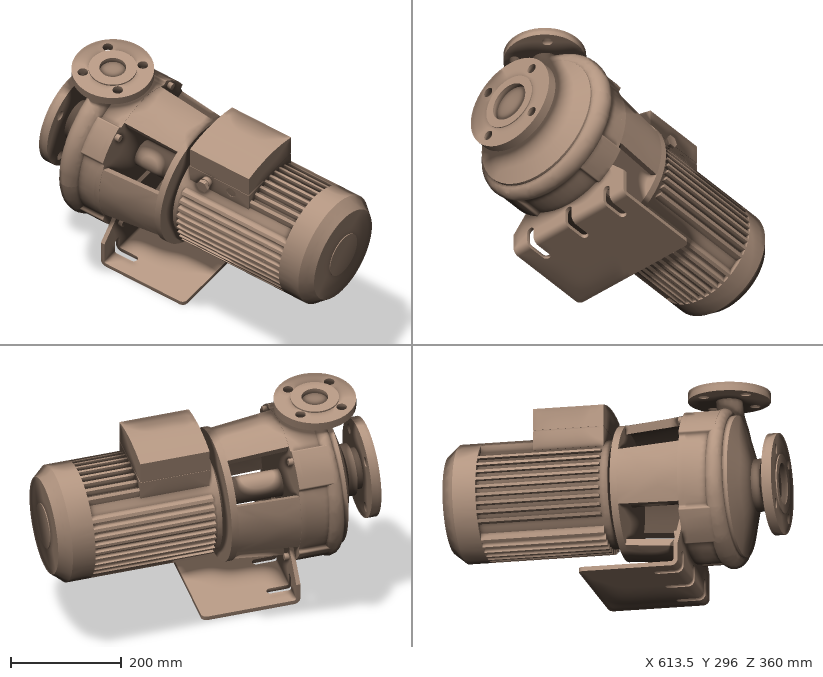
import cadquery as cq
import math


DIAGONALS = (45, 135, 225, 315)

INLET_FACE_X = -100.0
INLET_RAISED = 2.0
INLET_FLANGE_END_X = -80.0
INLET_COLLAR_X = -66.5
CONE_START_X = -50.5
CONE_END_X = -24.5
CASING_BACK_X = 55.7
LANTERN_FRONT_END_X = 66.4
LANTERN_REAR_X = 181.0
LANTERN_END_X = 194.0
MOTOR_NECK_END_X = 204.0
MOTOR_BODY_X = 218.5
MOTOR_COVER_X = 447.0
MOTOR_COVER_TAPER_X = 490.0
MOTOR_COVER_END_X = 512.0
MOTOR_END_X = 513.5

FLANGE_HOLE_DIA = 19.0
INLET_FLANGE_DIA = 185.0
INLET_RAISED_DIA = 108.0
INLET_BOLT_CIRCLE = 145.0
INLET_PIPE_DIA = 76.1
INLET_BORE_DEPTH = 12.0
INLET_COLLAR_DIA = 96.1
OUTLET_FACE_Z = 180.0
OUTLET_RAISED = 3.0
OUTLET_FLANGE_THICKNESS = 16.0
OUTLET_FLANGE_DIA = 150.0
OUTLET_RAISED_DIA = 88.0
OUTLET_BOLT_CIRCLE = 110.0
OUTLET_PIPE_DIA = 48.3
OUTLET_BORE_DEPTH = 10.0
OUTLET_FLANGE_BASE_Z = OUTLET_FACE_Z - OUTLET_RAISED - OUTLET_FLANGE_THICKNESS

CASING_FRONT_DIA = 257.36
CASING_RING_RADIUS = 136.0
VOLUTE_CENTRE_RADIUS = 129.0
VOLUTE_START_TUBE_RADIUS = 13.0
VOLUTE_TUBE_GROWTH = 3.0 / 90.0
VOLUTE_STEP = 30
VOLUTE_WRAP = 270
NECK_START_WRAP = 320
NECK_STEP = 10
NECK_STATIONS = [
    (-59.0, 115.0, 29.0),
    (-30.0, 128.5, 33.0),
    (-9.0, 144.0, 58.0),
    (0.0, OUTLET_FLANGE_BASE_Z, 90.0),
]
LUG_RADIUS = 144.0
LUG_WIDTH = 73.0
LUG_CORNER_ROUND = 3.0
LUG_ROOT_FILLET = 5.0

ARM_FRONT_RADIUS = 135.5
ARM_REAR_RADIUS = 123.5
BORE_FRONT_RADIUS = 119.0
BORE_REAR_RADIUS = 108.5
ARM_HALF_ANGLE = 24.8
SHAFT_DIA = 50.0

BOLT_Y = 81.5
BOLT_Z = 107.0
BOLT_HEAD_DIA = 13.0
BOLT_HEAD_HEIGHT = 8.5
BOLT_SHANK_DIA = 9.0
BOLT_DEPTH_IN_CASING = 15.0

FOOT_THICKNESS = 8.0
FOOT_BASE_Z = -180.0
FOOT_HALF_WIDTH = 130.0
FOOT_END_X = 251.5
FOOT_BEND_RADIUS = 12.0
FOOT_CORNER_RADIUS = 10.0
FOOT_TOP_Z = -56.5
FOOT_TOP_HALF_WIDTH = 62.0
FOOT_SHOULDER_NEAR_Z = -125.0
FOOT_SHOULDER_FAR_Z = -137.5
FOOT_SLOT_WIDTH = 15.0
FOOT_SLOT_SPACING = 90.0
FOOT_SLOT_TOP_Z = -142.5
FOOT_SLOT_END_X = 118.5

MOTOR_NECK_DIA = 137.0
MOTOR_CORE_DIA = 197.0
MOTOR_FIN_DIA = 217.0
MOTOR_TAPER_END_DIA = 180.0
MOTOR_END_DISC_DIA = 84.0
FIN_PITCH = 15.0
FIN_COUNT = 9
FIN_WIDTH = 5.0

BOX_LENGTH = 131.0
BOX_WIDTH = 131.0
BOX_BOTTOM_Z = 74.0
BOX_EDGE_Z = 152.0
BOX_CREST_Z = 161.0
BOX_SEAM_Z = 110.5
BOX_SEAM_WIDTH = 2.5
BOX_SEAM_DEPTH = 0.5
GLAND_X = 258.5
BLANK_ENTRY_X = 310.0
ENTRY_Z = 94.5
ENTRY_DIA = 20.0
BLANK_ENTRY_DEPTH = 1.0
GLAND_COLLAR_LENGTH = 8.5
GLAND_NECK_DIA = 16.0
GLAND_NECK_LENGTH = 5.0
GLAND_HEX_FLATS = 21.5
GLAND_HEX_LENGTH = 5.5


def x_cylinder(radius, start_x, end_x, y=0.0, z=0.0):
    """Cylinder along X between two stations."""
    return cq.Workplane("YZ", origin=(start_x, y, z)).circle(radius).extrude(end_x - start_x)


def x_revolve(profile):
    """Revolve (x, radius) points, closed along the shaft axis, around X."""
    closed = [(profile[0][0], 0.0)] + profile + [(profile[-1][0], 0.0)]
    return cq.Workplane("XY").polyline(closed).close().revolve(360, (0, 0, 0), (1, 0, 0))


def polar(radius, angle):
    """Point in the YZ plane at an angle in degrees measured from +Y toward +Z."""
    return radius * math.cos(math.radians(angle)), radius * math.sin(math.radians(angle))


def bolt_positions():
    """(y, z) of the four bolts that clamp the lantern to the casing."""
    return [(y, z) for y in (-BOLT_Y, BOLT_Y) for z in (-BOLT_Z, BOLT_Z)]


def bolt_seat_x(z):
    """Underside of a bolt head: the lower bolts also clamp the foot."""
    return LANTERN_FRONT_END_X + (FOOT_THICKNESS if z < 0 else 0.0)


def cut_bolt_holes(body):
    """Remove the shank holes of all four bolts."""
    for y, z in bolt_positions():
        body = body.cut(
            x_cylinder(BOLT_SHANK_DIA / 2, CASING_BACK_X - BOLT_DEPTH_IN_CASING, bolt_seat_x(z), y, z)
        )
    return body


def lugged_disc(start_x, end_x):
    """Casing ring with four raised parallel-sided lugs with rounded corners and filleted roots."""
    length = end_x - start_x
    lugs = cq.Workplane("XY")
    for angle in DIAGONALS[:2]:
        bar_size = (length, 2 * LUG_RADIUS + LUG_WIDTH, LUG_WIDTH)
        bar = cq.Workplane("XY").box(*bar_size, centered=(False, True, True))
        lugs = lugs.union(bar.rotate((0, 0, 0), (1, 0, 0), angle))
    lugs = lugs.translate((start_x, 0, 0)).intersect(x_cylinder(LUG_RADIUS, start_x, end_x))
    disc = x_cylinder(CASING_RING_RADIUS, start_x, end_x).union(lugs)
    disc = disc.newObject(lug_edges(disc, LUG_RADIUS)).fillet(LUG_CORNER_ROUND)
    return disc.newObject(lug_edges(disc, CASING_RING_RADIUS)).fillet(LUG_ROOT_FILLET)


def lug_edges(disc, radius):
    """Edges along X where the lug sides cross the given radius."""
    side_angle = math.degrees(math.asin(LUG_WIDTH / 2 / radius))
    edges = []
    for middle in DIAGONALS:
        for angle in (middle - side_angle, middle + side_angle):
            point = (disc.val().Center().x, *polar(radius, angle))
            edges += disc.edges("|X").edges(cq.selectors.NearestToPointSelector(point)).vals()
    return edges


def tube_section(y, z, radius, heading):
    """Circular section centred on X = 0, facing a heading in degrees from +Y toward +Z."""
    plane = cq.Plane(origin=(0, y, z), xDir=(1, 0, 0), normal=(0, *polar(1.0, heading)))
    return cq.Workplane(plane).circle(radius).wires().val()


def spiral_section(wrap):
    """Section of the spiral tube after a wrap in degrees from its start at the top."""
    y, z = polar(VOLUTE_CENTRE_RADIUS, 90 - wrap)
    return tube_section(y, z, VOLUTE_START_TUBE_RADIUS + VOLUTE_TUBE_GROWTH * wrap, -wrap)


def make_spiral():
    """Tube that widens as it wraps around the impeller."""
    sections = [spiral_section(wrap) for wrap in range(0, VOLUTE_WRAP + 1, VOLUTE_STEP)]
    return cq.Workplane(cq.Solid.makeLoft(sections))


def make_swan_neck():
    """Continuation of the spiral that swings up into the outlet flange."""
    sections = [spiral_section(wrap) for wrap in range(VOLUTE_WRAP, NECK_START_WRAP + 1, NECK_STEP)]
    for y, z, heading in NECK_STATIONS:
        sections.append(tube_section(y, z, OUTLET_PIPE_DIA / 2, heading))
    return cq.Workplane(cq.Solid.makeLoft(sections))


def make_inlet_flange():
    flange = x_revolve([
        (INLET_FACE_X, INLET_RAISED_DIA / 2),
        (INLET_FACE_X + INLET_RAISED, INLET_RAISED_DIA / 2),
        (INLET_FACE_X + INLET_RAISED, INLET_FLANGE_DIA / 2),
        (INLET_FLANGE_END_X, INLET_FLANGE_DIA / 2),
    ])
    for angle in DIAGONALS:
        y, z = polar(INLET_BOLT_CIRCLE / 2, angle)
        flange = flange.cut(x_cylinder(FLANGE_HOLE_DIA / 2, INLET_FACE_X, INLET_FLANGE_END_X, y, z))
    return flange.cut(x_cylinder(INLET_PIPE_DIA / 2, INLET_FACE_X, INLET_FACE_X + INLET_BORE_DEPTH))


def make_outlet_flange():
    return (
        cq.Workplane("XY", origin=(0, 0, OUTLET_FLANGE_BASE_Z))
        .circle(OUTLET_FLANGE_DIA / 2)
        .extrude(OUTLET_FLANGE_THICKNESS)
        .faces(">Z").workplane()
        .polarArray(OUTLET_BOLT_CIRCLE / 2, DIAGONALS[0], 360, len(DIAGONALS))
        .hole(FLANGE_HOLE_DIA)
        .faces(">Z").workplane()
        .circle(OUTLET_RAISED_DIA / 2)
        .extrude(OUTLET_RAISED)
        .faces(">Z").workplane()
        .hole(OUTLET_PIPE_DIA, OUTLET_BORE_DEPTH)
    )


def make_casing():
    front = x_revolve([
        (INLET_FLANGE_END_X, INLET_PIPE_DIA / 2),
        (INLET_COLLAR_X, INLET_PIPE_DIA / 2),
        (INLET_COLLAR_X, INLET_COLLAR_DIA / 2),
        (CONE_START_X, INLET_COLLAR_DIA / 2),
        (CONE_END_X, CASING_FRONT_DIA / 2),
        (0.0, CASING_FRONT_DIA / 2),
    ])
    casing = front.union(lugged_disc(0.0, CASING_BACK_X)).union(make_spiral()).union(make_swan_neck())
    casing = casing.union(make_inlet_flange()).union(make_outlet_flange())
    return cut_bolt_holes(casing)


def make_window(middle_angle):
    """Wedge between two arms, bounded by radial planes, over the open length of the lantern."""
    half = 45.0 - ARM_HALF_ANGLE
    reach = 2 * LUG_RADIUS
    return (
        cq.Workplane("YZ", origin=(LANTERN_FRONT_END_X, 0, 0))
        .lineTo(*polar(reach, middle_angle - half))
        .lineTo(*polar(reach, middle_angle + half))
        .close()
        .extrude(LANTERN_REAR_X - LANTERN_FRONT_END_X)
    )


def make_arms():
    """Four arms left from a tapered shell."""
    outside = x_revolve([(LANTERN_FRONT_END_X, ARM_FRONT_RADIUS), (LANTERN_REAR_X, ARM_REAR_RADIUS)])
    inside = x_revolve([(LANTERN_FRONT_END_X, BORE_FRONT_RADIUS), (LANTERN_REAR_X, BORE_REAR_RADIUS)])
    shell = outside.cut(inside)
    for middle in DIAGONALS:
        shell = shell.cut(make_window(middle))
    return shell


def make_lantern():
    lantern = lugged_disc(CASING_BACK_X, LANTERN_FRONT_END_X).union(make_arms())
    lantern = lantern.union(x_cylinder(ARM_REAR_RADIUS, LANTERN_REAR_X, LANTERN_END_X))
    lantern = lantern.union(x_cylinder(SHAFT_DIA / 2, LANTERN_FRONT_END_X, LANTERN_REAR_X))
    return cut_bolt_holes(lantern)


def make_bolt(y, z):
    seat_x = bolt_seat_x(z)
    head = x_cylinder(BOLT_HEAD_DIA / 2, seat_x, seat_x + BOLT_HEAD_HEIGHT, y, z)
    shank = x_cylinder(BOLT_SHANK_DIA / 2, CASING_BACK_X - BOLT_DEPTH_IN_CASING, seat_x, y, z)
    return head.union(shank)


def make_foot():
    """Bent plate: an upright bolted to the lantern and a base running under it."""
    front_x = LANTERN_FRONT_END_X
    inner_x = front_x + FOOT_THICKNESS
    upright = (
        cq.Workplane("YZ", origin=(front_x, 0, 0))
        .moveTo(-FOOT_HALF_WIDTH, FOOT_BASE_Z)
        .lineTo(FOOT_HALF_WIDTH, FOOT_BASE_Z)
        .lineTo(FOOT_HALF_WIDTH, FOOT_SHOULDER_FAR_Z)
        .lineTo(FOOT_TOP_HALF_WIDTH, FOOT_TOP_Z)
        .lineTo(-FOOT_TOP_HALF_WIDTH, FOOT_TOP_Z)
        .lineTo(-FOOT_HALF_WIDTH, FOOT_SHOULDER_NEAR_Z)
        .close()
        .extrude(FOOT_THICKNESS)
    )
    base = (
        cq.Workplane("XY", origin=(front_x, 0, FOOT_BASE_Z))
        .box(FOOT_END_X - front_x, 2 * FOOT_HALF_WIDTH, FOOT_THICKNESS, centered=(False, True, False))
        .edges("|Z and >X").fillet(FOOT_CORNER_RADIUS)
    )
    foot = upright.union(base)
    outer_edge = (front_x, 0, FOOT_BASE_Z)
    inner_edge = (inner_x, 0, FOOT_BASE_Z + FOOT_THICKNESS)
    for edge, radius in ((outer_edge, FOOT_BEND_RADIUS), (inner_edge, FOOT_BEND_RADIUS - FOOT_THICKNESS)):
        foot = foot.edges(cq.selectors.NearestToPointSelector(edge)).fillet(radius)
    for y in (-FOOT_SLOT_SPACING, 0.0, FOOT_SLOT_SPACING):
        foot = foot.cut(make_foot_slot(y))
    return cut_bolt_holes(foot.cut(make_arms()))


def make_foot_slot(y):
    """Slot that crosses the bend, round-ended in the upright and in the base."""
    front_x = LANTERN_FRONT_END_X
    radius = FOOT_SLOT_WIDTH / 2
    upright_centre_z = FOOT_SLOT_TOP_Z - radius
    base_centre_x = FOOT_SLOT_END_X - radius
    bend_size = (base_centre_x - front_x, FOOT_SLOT_WIDTH, upright_centre_z - FOOT_BASE_Z)
    bend_part = (
        cq.Workplane("XY", origin=(front_x, y, FOOT_BASE_Z)).box(*bend_size, centered=(False, True, False))
    )
    upright_end = x_cylinder(radius, front_x, front_x + FOOT_THICKNESS, y, upright_centre_z)
    base_end = (
        cq.Workplane("XY", origin=(base_centre_x, y, FOOT_BASE_Z)).circle(radius).extrude(FOOT_THICKNESS)
    )
    return bend_part.union(upright_end).union(base_end)


def box_block():
    """Prism of the terminal box, with a top that crowns across Y."""
    half = BOX_WIDTH / 2
    return (
        cq.Workplane("YZ", origin=(MOTOR_BODY_X, 0, 0))
        .moveTo(-half, BOX_BOTTOM_Z)
        .lineTo(half, BOX_BOTTOM_Z)
        .lineTo(half, BOX_EDGE_Z)
        .threePointArc((0, BOX_CREST_Z), (-half, BOX_EDGE_Z))
        .close()
        .extrude(BOX_LENGTH)
    )


def make_fins():
    """Parallel cooling fins, upright above and below and level on the two flanks."""
    length = MOTOR_COVER_X - MOTOR_BODY_X
    fins = cq.Workplane("XY")
    first = -FIN_PITCH * (FIN_COUNT - 1) / 2
    for index in range(FIN_COUNT):
        offset = first + index * FIN_PITCH
        upright = cq.Workplane("XY").box(length, FIN_WIDTH, MOTOR_FIN_DIA, centered=(False, True, True))
        level = cq.Workplane("XY").box(length, MOTOR_FIN_DIA, FIN_WIDTH, centered=(False, True, True))
        fins = fins.union(upright.translate((MOTOR_BODY_X, offset, 0)))
        fins = fins.union(level.translate((MOTOR_BODY_X, 0, offset)))
    return fins.intersect(x_cylinder(MOTOR_FIN_DIA / 2, MOTOR_BODY_X, MOTOR_COVER_X))


def make_motor():
    body = x_revolve([
        (LANTERN_END_X, MOTOR_NECK_DIA / 2),
        (MOTOR_NECK_END_X, MOTOR_NECK_DIA / 2),
        (MOTOR_NECK_END_X, MOTOR_CORE_DIA / 2),
        (MOTOR_COVER_X, MOTOR_CORE_DIA / 2),
        (MOTOR_COVER_X, MOTOR_FIN_DIA / 2),
        (MOTOR_COVER_TAPER_X, MOTOR_FIN_DIA / 2),
        (MOTOR_COVER_END_X, MOTOR_TAPER_END_DIA / 2),
        (MOTOR_COVER_END_X, MOTOR_END_DISC_DIA / 2),
        (MOTOR_END_X, MOTOR_END_DISC_DIA / 2),
    ])
    return body.union(make_fins().cut(box_block()))


def make_terminal_box():
    """Terminal box seated on the motor core, with a cable gland and a blank entry on -Y."""
    side_y = -BOX_WIDTH / 2
    box = box_block().cut(x_cylinder(MOTOR_CORE_DIA / 2, MOTOR_BODY_X, MOTOR_BODY_X + BOX_LENGTH))
    middle_x = MOTOR_BODY_X + BOX_LENGTH / 2
    seam = (
        cq.Workplane("XY", origin=(middle_x, 0, BOX_SEAM_Z - BOX_SEAM_WIDTH / 2))
        .rect(BOX_LENGTH, BOX_WIDTH)
        .rect(BOX_LENGTH - 2 * BOX_SEAM_DEPTH, BOX_WIDTH - 2 * BOX_SEAM_DEPTH)
        .extrude(BOX_SEAM_WIDTH)
    )
    blank_entry = (
        cq.Workplane("XZ", origin=(BLANK_ENTRY_X, side_y, ENTRY_Z))
        .circle(ENTRY_DIA / 2)
        .extrude(-BLANK_ENTRY_DEPTH)
    )
    gland = (
        cq.Workplane("XZ", origin=(GLAND_X, side_y, ENTRY_Z))
        .circle(ENTRY_DIA / 2).extrude(GLAND_COLLAR_LENGTH)
        .faces("<Y").workplane()
        .circle(GLAND_NECK_DIA / 2).extrude(GLAND_NECK_LENGTH)
        .faces("<Y").workplane()
        .polygon(6, GLAND_HEX_FLATS / math.cos(math.pi / 6)).extrude(GLAND_HEX_LENGTH)
    )
    return box.cut(seam).cut(blank_entry).union(gland)


casing = make_casing()
lantern = make_lantern()
foot = make_foot()
motor = make_motor()
terminal_box = make_terminal_box()
bolts = [make_bolt(y, z) for y, z in bolt_positions()]

result = cq.Compound.makeCompound([
    casing.val(),
    lantern.val(),
    foot.val(),
    motor.val(),
    terminal_box.val(),
    *[bolt.val() for bolt in bolts],
])